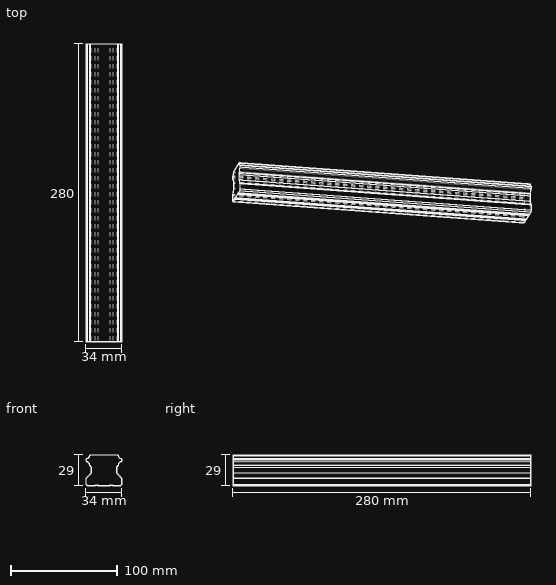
import cadquery as cq
import math

length = 280.0
width = 34.0
height = 29.0
half_width = width / 2

top_half_width = 13.0
top_bevel_x = 0.8
top_bevel_z = 0.8
upper_groove_end_x = 15.5
upper_groove_end_z = 25.8
flank_top_z = 25.0
flank_bevel_x = 0.8
flank_bottom_z = 23.2
lower_groove_start_x = 15.5
lower_groove_start_z = 22.5
lower_groove_end_x = 13.7
lower_groove_end_z = 20.0
head_bottom_z = 19.0
groove_sag = 0.42

neck_half_width = 12.0
neck_ledge_x = 13.0
neck_top_z = 17.5
neck_bottom_z = 12.0
shoulder_end_x = 16.2
shoulder_end_z = 7.5

foot_top_bevel = 0.5
foot_top_z = 6.7
foot_bevel = 1.5
bottom_groove_x = 7.0
bottom_groove_width = 2.8
bottom_groove_depth = 0.5


def hollow_point(start, end, sag):
    """Middle of an arc from start to end that bows in toward the body."""
    dx = end[0] - start[0]
    dz = end[1] - start[1]
    chord = math.hypot(dx, dz)
    return (
        (start[0] + end[0]) / 2 + sag * dz / chord,
        (start[1] + end[1]) / 2 - sag * dx / chord,
    )


def make_half_rail():
    """The +X half of the rail, extruded along Y."""
    upper_start = (top_half_width + top_bevel_x, height - top_bevel_z)
    upper_end = (upper_groove_end_x, upper_groove_end_z)
    lower_start = (lower_groove_start_x, lower_groove_start_z)
    lower_end = (lower_groove_end_x, lower_groove_end_z)
    profile = (
        cq.Workplane("XZ", origin=(0, length / 2, 0))
        .moveTo(0, height)
        .lineTo(top_half_width, height)
        .lineTo(*upper_start)
        .threePointArc(hollow_point(upper_start, upper_end, groove_sag), upper_end)
        .lineTo(half_width - flank_bevel_x, upper_groove_end_z)
        .lineTo(half_width, flank_top_z)
        .lineTo(half_width, flank_bottom_z)
        .lineTo(*lower_start)
        .threePointArc(hollow_point(lower_start, lower_end, groove_sag), lower_end)
        .lineTo(lower_groove_end_x, head_bottom_z)
        .lineTo(neck_ledge_x, head_bottom_z)
        .lineTo(neck_half_width, neck_top_z)
        .lineTo(neck_half_width, neck_bottom_z)
        .lineTo(shoulder_end_x, shoulder_end_z)
        .lineTo(half_width - foot_top_bevel, shoulder_end_z)
        .lineTo(half_width, foot_top_z)
        .lineTo(half_width, foot_bevel)
        .lineTo(half_width - foot_bevel, 0)
        .lineTo(0, 0)
        .close()
    )
    return profile.extrude(length)


def make_bottom_grooves():
    """Two shallow grooves running the whole length of the underside."""
    groove_centers = [(-bottom_groove_x, 0), (bottom_groove_x, 0)]
    return (
        cq.Workplane("XZ", origin=(0, length / 2, 0))
        .pushPoints(groove_centers)
        .rect(bottom_groove_width, 2 * bottom_groove_depth)
        .extrude(length)
    )


half_rail = make_half_rail()
rail = half_rail.union(half_rail.mirror("YZ")).clean()
result = rail.cut(make_bottom_grooves())